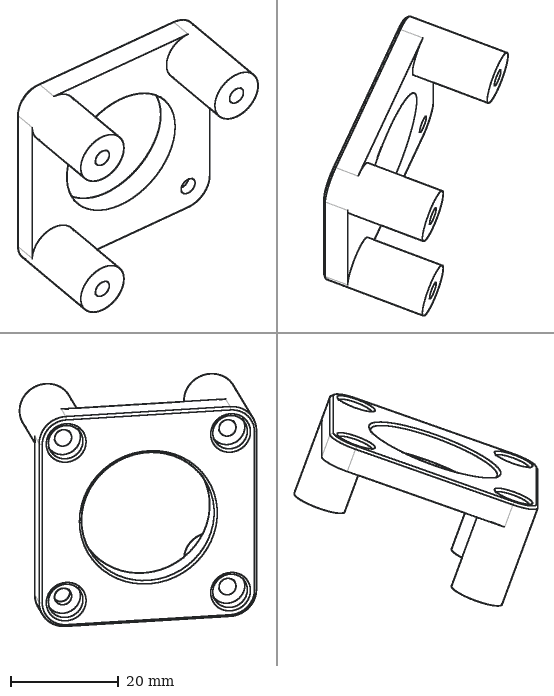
import cadquery as cq

hole_spacing = 31.0
post_diameter = 10.0
plate_thickness = 5.0
total_depth = 20.0
bore_diameter = 25.0
screw_diameter = 3.2
counterbore_diameter = 6.5
counterbore_depth = 3.0
edge_chamfer = 0.5

plate_side = hole_spacing + post_diameter
axis_offset = hole_spacing / 2

post_axes = [
    (-axis_offset, -axis_offset),
    (-axis_offset, axis_offset),
    (axis_offset, axis_offset),
]
plain_axis = (axis_offset, -axis_offset)
screw_axes = post_axes + [plain_axis]


def outer_face():
    """Workplane on the outer plate face (X = 0), extruding toward +X."""
    return cq.Workplane("YZ")


def cylinders(axes, diameter, length):
    """Equal cylinders on the given axes, starting at the outer face."""
    return outer_face().pushPoints(axes).circle(diameter / 2).extrude(length)


def make_body():
    """Square plate as two crossed slabs, its corners rounded by the posts and one short disc."""
    wide_slab = outer_face().rect(plate_side, hole_spacing).extrude(plate_thickness)
    tall_slab = outer_face().rect(hole_spacing, plate_side).extrude(plate_thickness)
    posts = cylinders(post_axes, post_diameter, total_depth)
    plain_corner = cylinders([plain_axis], post_diameter, plate_thickness)
    return wide_slab.union(tall_slab).union(posts).union(plain_corner)


def cut_holes(body):
    """Central bore and four counterbored through holes."""
    bore = cylinders([(0, 0)], bore_diameter, plate_thickness)
    screw_holes = cylinders(screw_axes, screw_diameter, total_depth)
    counterbores = cylinders(screw_axes, counterbore_diameter, counterbore_depth)
    return body.cut(bore).cut(screw_holes).cut(counterbores)


def chamfer_outer_face(body):
    """Bevel the plate rim, the bore and the counterbores on the outer face."""
    return body.faces("<X").edges().chamfer(edge_chamfer)


result = chamfer_outer_face(cut_holes(make_body()))